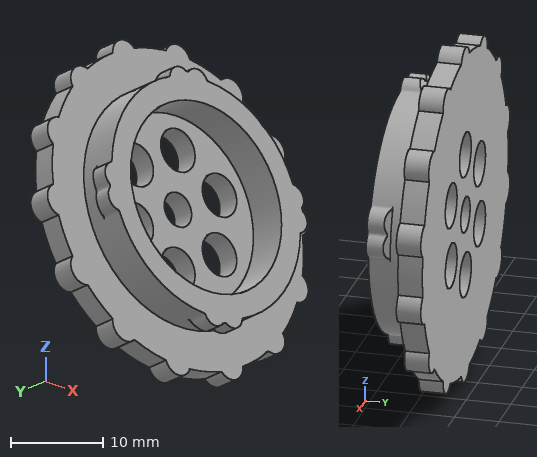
import cadquery as cq
import math

rim_diameter = 36.85
rim_thickness = 2.75
overall_size = 39.1
overall_depth = 7.27
lobe_count = 14
lobe_radius = 1.88
lobe_center_radius = overall_size / 2 - lobe_radius

collar_diameter = 27.6
recess_diameter = 22.1
floor_thickness = rim_thickness

lug_count = 4
lug_tilt = 11.0
lug_height = 2.45
lug_tip_radius = 14.85
bump_radius = 1.52
bump_half_spacing = 5.4
bump_blend_radius = 0.4
lug_lead_in = 0.55

center_hole_diameter = 4.0
ring_hole_diameter = 5.0
ring_hole_count = 6
ring_hole_center_radius = 7.05


def polar_points(radius, count, start_angle):
    """Evenly spaced points on a circle, angles in degrees from +X toward +Z."""
    angles = [math.radians(start_angle + 360 * i / count) for i in range(count)]
    return [(radius * math.cos(a), radius * math.sin(a)) for a in angles]


def plane_at(depth):
    """Sketch plane facing -Y, the given distance in front of the rim's back face."""
    return cq.Workplane("XZ", origin=(0, -depth, 0))


def make_rim():
    lobes = polar_points(lobe_center_radius, lobe_count, 90)
    disc = plane_at(0).circle(rim_diameter / 2).extrude(rim_thickness)
    return disc.union(plane_at(0).pushPoints(lobes).circle(lobe_radius).extrude(rim_thickness))


def make_lugs():
    start = overall_depth - lug_height
    collar_radius = collar_diameter / 2
    lugs = plane_at(start).circle(collar_radius).extrude(lug_height)
    for side in (-1, 1):
        bump_angle = 90 + lug_tilt + side * bump_half_spacing
        bumps = polar_points(lug_tip_radius - bump_radius, lug_count, bump_angle)
        lugs = lugs.union(plane_at(start).pushPoints(bumps).circle(bump_radius).extrude(lug_height))

    lugs = lugs.edges("|Y").fillet(bump_blend_radius)

    envelope = (
        cq.Workplane("XY")
        .moveTo(0, -start)
        .lineTo(collar_radius, -start)
        .lineTo(lug_tip_radius, -start - lug_lead_in)
        .lineTo(lug_tip_radius, -overall_depth)
        .lineTo(0, -overall_depth)
        .close()
        .revolve(360, (0, 0, 0), (0, 1, 0))
    )
    return lugs.intersect(envelope)


def make_holes():
    ring = polar_points(ring_hole_center_radius, ring_hole_count, 90)
    holes = plane_at(0).circle(center_hole_diameter / 2).extrude(overall_depth)
    return holes.union(
        plane_at(0).pushPoints(ring).circle(ring_hole_diameter / 2).extrude(overall_depth))


collar = plane_at(0).circle(collar_diameter / 2).extrude(overall_depth)
recess = plane_at(floor_thickness).circle(recess_diameter / 2).extrude(overall_depth)
result = make_rim().union(collar).union(make_lugs()).cut(recess).cut(make_holes())